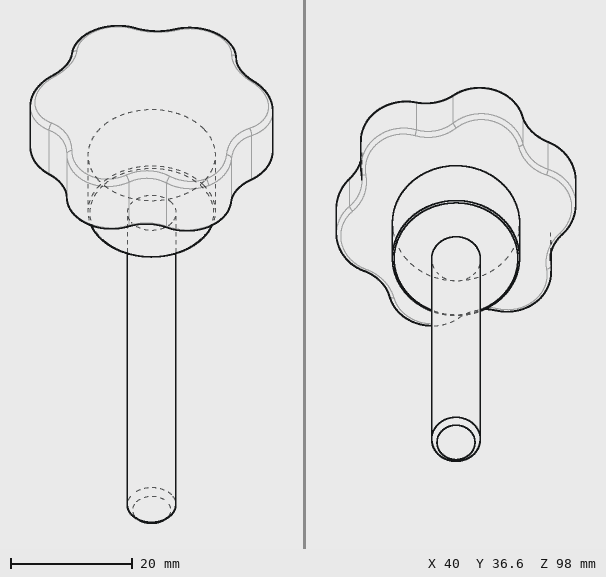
import cadquery as cq
import math

total_height = 98.0
knob_radius = 20.0
lobe_count = 6
lobe_radius = 7.2
valley_radius = 6.7
dome_radius = 82.3
underside_radius = 196.0
head_bottom = 83.5
prism_margin = 1.0
head_top_fillet = 1.0
head_bottom_fillet = 0.8
hub_diameter = 21.0
hub_bottom = 70.2
hub_overlap = 2.0
hub_chamfer = 0.3
stud_diameter = 8.0
stud_chamfer_width = 0.9
stud_chamfer_height = 1.2

lobe_pitch_radius = knob_radius - lobe_radius
half_step = math.pi / lobe_count
valley_pitch_radius = lobe_pitch_radius * math.cos(half_step) + math.sqrt(
    (lobe_radius + valley_radius) ** 2 - (lobe_pitch_radius * math.sin(half_step)) ** 2
)
valley_depth_radius = valley_pitch_radius - valley_radius


def polar(radius, angle):
    return (radius * math.cos(angle), radius * math.sin(angle))


def tangent_point(lobe_angle, side):
    """Where a lobe meets the valley clockwise (side -1) or counterclockwise (+1) of it."""
    lobe_x, lobe_y = polar(lobe_pitch_radius, lobe_angle)
    valley_x, valley_y = polar(valley_pitch_radius, lobe_angle + side * half_step)
    share = lobe_radius / (lobe_radius + valley_radius)
    return (lobe_x + share * (valley_x - lobe_x), lobe_y + share * (valley_y - lobe_y))


def star_outline(plane):
    outline = plane.moveTo(*tangent_point(0, -1))
    for lobe in range(lobe_count):
        angle = 2 * half_step * lobe
        next_angle = angle + 2 * half_step
        outline = outline.threePointArc(polar(knob_radius, angle), tangent_point(angle, 1))
        outline = outline.threePointArc(
            polar(valley_depth_radius, angle + half_step), tangent_point(next_angle, -1)
        )
    return outline.close()


def make_head():
    prism = star_outline(cq.Workplane("XY", origin=(0, 0, head_bottom - prism_margin)))
    prism = prism.extrude(total_height - head_bottom + 2 * prism_margin)
    dome = cq.Workplane("XY").sphere(dome_radius).translate((0, 0, total_height - dome_radius))
    underside = cq.Workplane("XY").sphere(underside_radius)
    underside = underside.translate((0, 0, head_bottom + underside_radius))
    head = prism.intersect(dome).intersect(underside)
    head = head.faces(">Z").edges().fillet(head_top_fillet)
    return head.faces("<Z").edges().fillet(head_bottom_fillet)


def make_hub():
    hub = cq.Workplane("XY", origin=(0, 0, hub_bottom)).circle(hub_diameter / 2)
    hub = hub.extrude(head_bottom + hub_overlap - hub_bottom)
    return hub.faces("<Z").edges().chamfer(hub_chamfer)


def make_stud():
    stud = cq.Workplane("XY").circle(stud_diameter / 2).extrude(hub_bottom)
    return stud.faces("<Z").edges().chamfer(stud_chamfer_height, stud_chamfer_width)


result = make_head().union(make_hub()).union(make_stud())